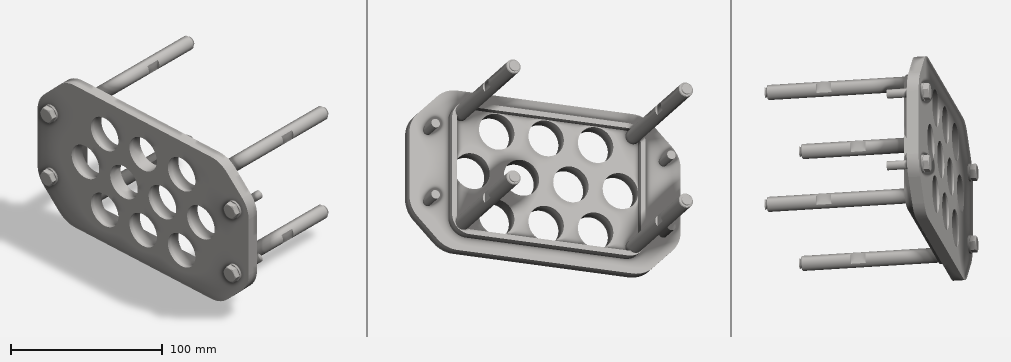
import cadquery as cq
import math

plate_width = 192.0
plate_height = 112.0
plate_thickness = 8.0
plate_corner_cut = 25.6
plate_corner_radius = 20.0

opening_diameter = 25.0
opening_pitch = 35.0
opening_row_pitch = 30.0
openings_per_row = (3, 4, 3)

frame_width = 137.0
frame_height = 93.0
frame_thickness = 7.0
frame_wall = 3.5
frame_recess_depth = 5.0
frame_corner_radius = 12.5

rod_spacing_x = 122.0
rod_spacing_z = 78.0
rod_diameter = 10.0
rod_chamfer = 0.5
rod_shoulder_y = 107.4
flats_width = 7.0
flats_length = 10.0
flats_start_y = 64.5
tip_length = 2.1
tip_diameter = 7.0
neck_diameter = 6.0

screw_spacing_x = 166.8
screw_spacing_z = 50.0
screw_diameter = 6.0
screw_end_y = 23.4
flange_diameter = 12.0
flange_thickness = 1.4
head_height = 5.4
head_across_flats = 10.0
head_face_diameter = 9.5
head_chamfer_angle = 30.0


def along_y(y):
    """Workplane at depth y whose local axes are X and Z and whose normal is -Y."""
    return cq.Workplane("XZ", origin=(0, y, 0))


def grid(spacing_x, spacing_z):
    """Four (x, z) corners of a centred rectangle."""
    return [(sx * spacing_x / 2, sz * spacing_z / 2) for sx in (-1, 1) for sz in (-1, 1)]


def opening_centres():
    centres = []
    middle_row = (len(openings_per_row) - 1) / 2
    for row, count in enumerate(openings_per_row):
        z = (row - middle_row) * opening_row_pitch
        for column in range(count):
            centres.append(((column - (count - 1) / 2) * opening_pitch, z))
    return centres


def make_plate():
    blank = along_y(0).rect(plate_width, plate_height).extrude(-plate_thickness)
    return blank.edges("|Y").chamfer(plate_corner_cut).edges("|Y").fillet(plate_corner_radius)


def make_openings():
    """Cylinders that pass through the plate and the floor of the frame."""
    openings = along_y(0).pushPoints(opening_centres()).circle(opening_diameter / 2)
    return openings.extrude(-(plate_thickness + frame_thickness))


def rounded_block(width, height, radius, y, depth):
    """Block of rounded outline reaching from depth y towards +Y."""
    return along_y(y).rect(width, height).extrude(-depth).edges("|Y").fillet(radius)


def make_frame():
    """Raised pad hollowed from the back, leaving a rim around a recessed floor."""
    pad = rounded_block(frame_width, frame_height, frame_corner_radius, plate_thickness, frame_thickness)
    recess = rounded_block(
        frame_width - 2 * frame_wall,
        frame_height - 2 * frame_wall,
        frame_corner_radius - frame_wall,
        plate_thickness + frame_thickness - frame_recess_depth,
        frame_recess_depth,
    )
    return pad.cut(recess)


def make_rod():
    """Rod on the Y axis with a waisted tip and two wrench flats facing -X and +X."""
    rod_radius = rod_diameter / 2
    tip_radius = tip_diameter / 2
    neck_radius = neck_diameter / 2
    chamfer_end_y = rod_shoulder_y + rod_chamfer
    tip_y = rod_shoulder_y + tip_length
    neck_y = (chamfer_end_y + tip_y) / 2
    profile = [
        (0, plate_thickness),
        (rod_radius, plate_thickness),
        (rod_radius, rod_shoulder_y),
        (rod_radius - rod_chamfer, chamfer_end_y),
        (tip_radius, chamfer_end_y),
        (neck_radius, neck_y),
        (tip_radius, tip_y),
        (0, tip_y),
    ]
    rod = cq.Workplane("XY").polyline(profile).close().revolve(360, (0, 0, 0), (0, 1, 0))

    flat_cut_offset = (flats_width + rod_diameter) / 2
    flat_cuts = along_y(flats_start_y).pushPoints([(-flat_cut_offset, 0), (flat_cut_offset, 0)])
    return rod.cut(flat_cuts.rect(rod_diameter, rod_diameter).extrude(-flats_length))


def make_screw():
    """Screw on the Y axis; two of its hexagon flats face -Z and +Z."""
    shank = along_y(0).circle(screw_diameter / 2).extrude(-screw_end_y)
    flange = along_y(0).circle(flange_diameter / 2).extrude(flange_thickness)
    across_corners = head_across_flats / math.cos(math.pi / 6)
    hexagon = along_y(0).polygon(6, across_corners).extrude(head_height)

    corner_radius = across_corners / 2
    face_radius = head_face_diameter / 2
    trim_depth = (corner_radius - face_radius) * math.tan(math.radians(head_chamfer_angle))
    envelope_profile = [
        (0, 0),
        (corner_radius, 0),
        (corner_radius, trim_depth - head_height),
        (face_radius, -head_height),
        (0, -head_height),
    ]
    envelope = cq.Workplane("XY").polyline(envelope_profile).close()
    envelope = envelope.revolve(360, (0, 0, 0), (0, 1, 0))
    return shank.union(flange).union(hexagon.intersect(envelope))


result = make_plate().union(make_frame()).cut(make_openings())
for x, z in grid(rod_spacing_x, rod_spacing_z):
    result = result.union(make_rod().translate((x, 0, z)))
for x, z in grid(screw_spacing_x, screw_spacing_z):
    result = result.union(make_screw().translate((x, 0, z)))